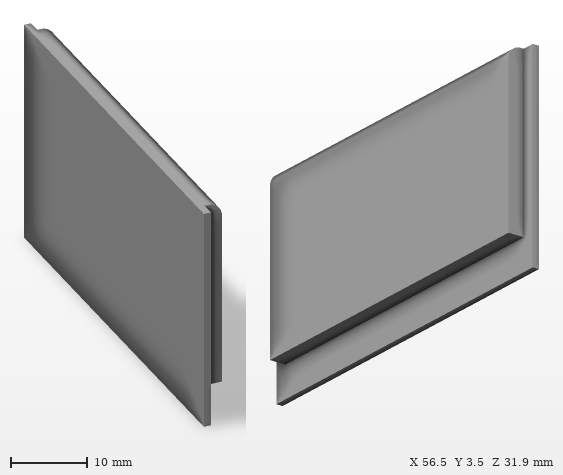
import cadquery as cq

plate_width = 56.55
plate_height = 31.85
plate_thickness = 1.0

total_depth = 3.5
side_margin = 2.0
bottom_margin = 5.0
top_edge_radius = 2.0

block_width = plate_width - 2 * side_margin
block_height = plate_height - bottom_margin
block_depth = total_depth - plate_thickness


def make_plate():
    """Thin plate with its front face on Y = 0 and its bottom edge on Z = 0."""
    return cq.Workplane("XY").box(
        plate_width, plate_thickness, plate_height, centered=(True, False, False)
    )


def make_block():
    """Block behind the plate with its upper rear edge rounded."""
    return (
        cq.Workplane("XY")
        .box(block_width, block_depth, block_height, centered=(True, False, False))
        .edges("|X and >Y and >Z")
        .fillet(top_edge_radius)
        .translate((0, plate_thickness, bottom_margin))
    )


result = make_plate().union(make_block())